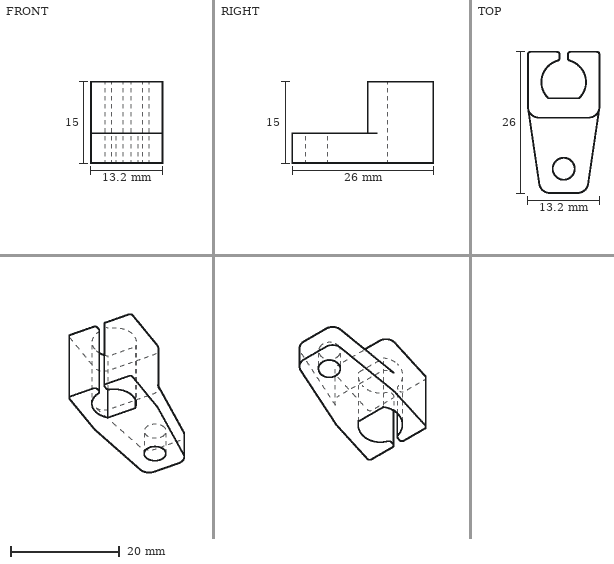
import cadquery as cq
import math

width = 13.2
length = 26.03
height = 15.0

block_depth = 12.13
front_radius = 2.0
edge_radius = 0.52

bore_radius = 4.09
bore_y = -5.6
flat_y = -8.55
slot_width = 1.5

arm_height = 5.52
tip_width = 8.55
tip_radius = 2.0
screw_diameter = 4.0
screw_y = -21.55


def make_block():
    block = cq.Workplane("XY").box(width, block_depth, height, centered=(True, False, False))
    block = block.translate((0, -block_depth, 0))
    block = block.edges("|Z and <Y").fillet(front_radius)
    return block.edges("|Z and >Y").fillet(edge_radius)


def make_arm():
    half_tip = tip_width / 2
    round_x = width / 2 - front_radius
    round_y = front_radius - block_depth
    across = half_tip - round_x
    drop = round_y + length
    taper = math.atan2(drop, across) - math.acos(front_radius / math.hypot(across, drop))
    tangent_x = round_x + front_radius * math.cos(taper)
    tangent_y = round_y - front_radius * math.sin(taper)
    arm = (
        cq.Workplane("XY")
        .polyline([
            (-tangent_x, tangent_y),
            (-half_tip, -length),
            (half_tip, -length),
            (tangent_x, tangent_y),
        ])
        .close()
        .extrude(arm_height)
    )
    return arm.edges("|Z and <Y").fillet(tip_radius)


def make_bore():
    bore = cq.Workplane("XY").center(0, bore_y).circle(bore_radius).extrude(height)
    kept_length = bore_y + bore_radius - flat_y
    kept_side = (
        cq.Workplane("XY")
        .center(0, flat_y + kept_length / 2)
        .rect(2 * bore_radius, kept_length)
        .extrude(height)
    )
    slot = (
        cq.Workplane("XY")
        .center(0, bore_y / 2)
        .rect(slot_width, -bore_y)
        .extrude(height)
    )
    return bore.intersect(kept_side).union(slot)


def round_slot_lips(body):
    half_slot = slot_width / 2
    lip_edges = cq.selectors.BoxSelector(
        (-half_slot - edge_radius, bore_y, 0),
        (half_slot + edge_radius, edge_radius, height),
    )
    return body.edges("|Z").edges(lip_edges).fillet(edge_radius)


body = make_block().union(make_arm()).cut(make_bore())
body = round_slot_lips(body)

screw_hole = (
    cq.Workplane("XY")
    .center(0, screw_y)
    .circle(screw_diameter / 2)
    .extrude(arm_height)
)
result = body.cut(screw_hole)